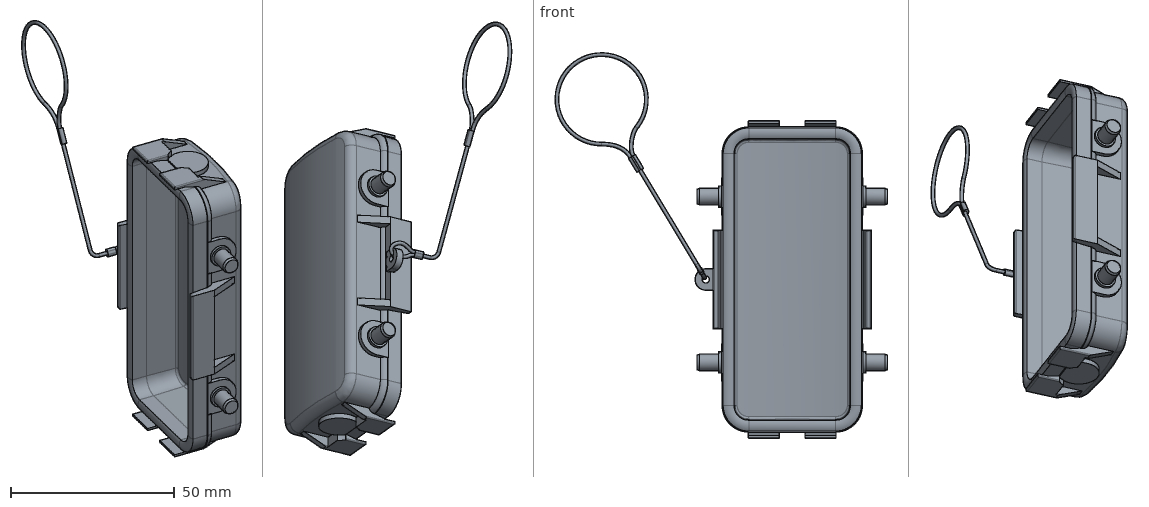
import cadquery as cq
import math


BODY_HALF_X, BODY_HALF_Z, BODY_CORNER = 20.1, 45.2, 7.0
BAND_HALF_X, BAND_HALF_Z, BAND_CORNER = 21.1, 46.3, 7.9
BEAD_HALF_X, BEAD_HALF_Z, BEAD_CORNER = 21.5, 46.7, 8.2
RIM_WIDTH = 3.3
RIM_BULGE = 0.5
STEP_Y = 5.4
BEAD_END_Y = 7.5
BEAD_ROUND = 2.0
CROWN_Y = 20.4
CROWN_RADIUS = 96.6
BACK_FILLET = 2.8
FLOOR_THICKNESS = 2.8
FLOOR_INSET = 0.4
FLOOR_FILLET = 0.8

ROOT_OVERLAP = 0.6

PIN_Y, PIN_Z = 9.5, 25.3
PIN_RADIUS = 2.6
PIN_TIP_X = 29.1
PIN_CHAMFER_LENGTH, PIN_CHAMFER_DEPTH = 0.8, 0.4
COLLAR_RADIUS, COLLAR_X = 3.3, 22.5
LUG_RADIUS, LUG_X = 5.7, 21.6
LUG_FRONT_Y = 5.4

FLAP_HALF_Z = 15.1
FLAP_OUTER_X = 24.2
FLAP_TIP_THICKNESS = 1.6
FLAP_ROOT_X = 21.7
FLAP_TIP_Y = -1.4
FLAP_BACK_Y = 6.2
FLAP_RIB_WIDTH = 2.4
FLAP_RIB_END_Y = 15.4

BRACKET_HALF_X = 13.4
BRACKET_OUTER_Z = 48.5
TAB_THICKNESS = 1.0
TAB_TIP_Y = -1.8
TAB_ROOT_Y = 1.8
TAB_GAP_HALF = 3.9
PLATE_BACK_Y = 7.4
BRACKET_RIB_WIDTH = 2.1
BRACKET_RIB_END_Y = 16.0
BRACKET_CREST_Y = 8.1
PAD_RADIUS, PAD_Y, PAD_Z = 6.2, 10.1, 46.8
PAD_FRONT_Y = 5.4
EDGE_ROUND = 0.4

EYELET_X = -26.4
EYELET_RADIUS, EYELET_HOLE_RADIUS = 3.3, 1.1
EYELET_FRONT_Y, EYELET_BACK_Y = 5.0, 7.2

WIRE_RADIUS = 0.6
WIRE_Y = -8.0
WIRE_ANGLE = math.radians(121)
BEND_RADIUS = 2.4
RISER_RUN = 3.1
SLEEVE_WIDTH, SLEEVE_THICKNESS = 2.5, 1.5
WIRE_SPREAD = 0.5
SMALL_SLEEVE_FRONT_Y, SMALL_SLEEVE_BACK_Y = -2.8, 0.1
LARGE_SLEEVE_START, LARGE_SLEEVE_END = 38.9, 43.8
LARGE_SLEEVE_Y = -7.8
LOOP_X, LOOP_Z, LOOP_RADIUS = -58.2, 55.0, 13.7
RING_START_ANGLE, RING_END_ANGLE = math.radians(-39), math.radians(270)
SMALL_LOOP_OUTSIDE = [(RISER_RUN + WIRE_SPREAD, 0), (4.2, 2.2), (5.2, 5.7), (3.1, 8.1), (0.6, 6.1)]
SMALL_LOOP_INSIDE = [(RISER_RUN - WIRE_SPREAD, 0), (1.8, 2.0), (0.6, 6.1)]
SLEEVE_EXIT, HOLE_ENTRY, HOLE_EXIT = (0, 1), (-0.7, -1), (-0.7, 1)


def rounded_block(half_x, half_z, corner, front_y, back_y):
    """Box along Y with rounded corners in the XZ outline."""
    return (
        cq.Workplane("XY")
        .box(2 * half_x, back_y - front_y, 2 * half_z, centered=(True, False, True))
        .edges("|Y")
        .fillet(corner)
        .translate((0, front_y, 0))
    )


def crown_cylinder(radius):
    """Cylinder along Z whose +Y side carries the crown, concentric for every radius."""
    return (
        cq.Workplane("XY")
        .center(0, CROWN_Y - CROWN_RADIUS)
        .circle(radius)
        .extrude(BEAD_HALF_Z, both=True)
    )


def cover_solid():
    """Crowned body with the wider rim band and the rounded bead behind it."""
    body = rounded_block(BODY_HALF_X, BODY_HALF_Z, BODY_CORNER, RIM_BULGE, CROWN_Y)
    body = body.intersect(crown_cylinder(CROWN_RADIUS)).faces(">Y").edges().fillet(BACK_FILLET)
    band = rounded_block(BAND_HALF_X, BAND_HALF_Z, BAND_CORNER, RIM_BULGE, STEP_Y)
    bead = rounded_block(BEAD_HALF_X, BEAD_HALF_Z, BEAD_CORNER, STEP_Y, BEAD_END_Y)
    bead = bead.faces(">Y").edges().fillet(BEAD_ROUND)
    return body.union(band).union(bead)


def rim_bulge():
    """Shallow rounded crest that runs around the front of the rim."""
    inset = RIM_WIDTH / 2
    middle = rounded_block(
        BAND_HALF_X - inset, BAND_HALF_Z - inset, BAND_CORNER - inset, RIM_BULGE, STEP_Y
    )
    return (
        cq.Workplane("XY")
        .moveTo(BAND_HALF_X - RIM_WIDTH, RIM_BULGE)
        .threePointArc((BAND_HALF_X - inset, 0), (BAND_HALF_X, RIM_BULGE))
        .close()
        .sweep(middle.faces("<Y").wires())
    )


def cavity():
    """Straight opening behind the rim, then drafted walls down to the crowned floor."""
    half_x = BAND_HALF_X - RIM_WIDTH
    half_z = BAND_HALF_Z - RIM_WIDTH
    corner = BAND_CORNER - RIM_WIDTH
    opening = rounded_block(half_x, half_z, corner, -RIM_BULGE, STEP_Y)
    depth = CROWN_Y - FLOOR_THICKNESS - STEP_Y
    draft = math.degrees(math.atan(FLOOR_INSET / depth))
    well_mouth = opening.faces(">Y").wires().toPending().workplane()
    well = well_mouth.extrude(depth, taper=draft, combine=False)
    well = well.intersect(crown_cylinder(CROWN_RADIUS - FLOOR_THICKNESS))
    well = well.faces(">Y").edges().fillet(FLOOR_FILLET)
    return opening.union(well)


def along_x(radius, start_x, end_x, y, z):
    """Cylinder along X."""
    return cq.Workplane("YZ", origin=(start_x, y, z)).circle(radius).extrude(end_x - start_x)


def side_pin(z):
    """Pin, collar and lug on the +X side."""
    root_x = BODY_HALF_X - ROOT_OVERLAP
    lug = (
        cq.Workplane("YZ", origin=(root_x, PIN_Y, z))
        .moveTo(0, LUG_RADIUS)
        .threePointArc((LUG_RADIUS, 0), (0, -LUG_RADIUS))
        .lineTo(LUG_FRONT_Y - PIN_Y, -LUG_RADIUS)
        .lineTo(LUG_FRONT_Y - PIN_Y, LUG_RADIUS)
        .close()
        .extrude(LUG_X - root_x)
    )
    collar = along_x(COLLAR_RADIUS, root_x, COLLAR_X, PIN_Y, z)
    pin = along_x(PIN_RADIUS, root_x, PIN_TIP_X, PIN_Y, z)
    pin = pin.faces(">X").chamfer(PIN_CHAMFER_LENGTH, PIN_CHAMFER_DEPTH)
    return lug.union(collar).union(pin)


def side_flap():
    """Hanging flap on the +X side with two sloping ribs behind it."""
    root_x = BODY_HALF_X - ROOT_OVERLAP
    plate = (
        cq.Workplane("XY")
        .polyline([
            (root_x, FLAP_BACK_Y),
            (FLAP_OUTER_X, FLAP_BACK_Y),
            (FLAP_OUTER_X, FLAP_TIP_Y),
            (FLAP_OUTER_X - FLAP_TIP_THICKNESS, FLAP_TIP_Y),
            (FLAP_ROOT_X, STEP_Y),
            (root_x, STEP_Y),
        ])
        .close()
        .extrude(FLAP_HALF_Z, both=True)
    )
    rib = (
        cq.Workplane("XY", origin=(0, 0, FLAP_HALF_Z - FLAP_RIB_WIDTH))
        .polyline([
            (root_x, STEP_Y),
            (FLAP_OUTER_X, STEP_Y),
            (FLAP_OUTER_X, FLAP_BACK_Y),
            (BODY_HALF_X, FLAP_RIB_END_Y),
            (root_x, FLAP_RIB_END_Y),
        ])
        .close()
        .extrude(FLAP_RIB_WIDTH)
    )
    plate = plate.faces("<Y").edges().fillet(EDGE_ROUND)
    return plate.union(rib).union(rib.mirror("XY"))


def bracket_block(half_x, front_y, back_y):
    """Box from inside the end wall out to the bracket's outer face."""
    root_z = BODY_HALF_Z - ROOT_OVERLAP
    return (
        cq.Workplane("XY")
        .box(2 * half_x, back_y - front_y, BRACKET_OUTER_Z - root_z, centered=(True, False, False))
        .translate((0, front_y, root_z))
    )


def end_bracket():
    """Tabs, sloping ribs and round pad on the +Z end."""
    root_z = BODY_HALF_Z - ROOT_OVERLAP
    section = (
        cq.Workplane("YZ")
        .polyline([
            (BRACKET_RIB_END_Y, root_z),
            (BRACKET_RIB_END_Y, BODY_HALF_Z),
            (BRACKET_CREST_Y, BRACKET_OUTER_Z),
            (TAB_TIP_Y, BRACKET_OUTER_Z),
            (TAB_TIP_Y, BRACKET_OUTER_Z - TAB_THICKNESS),
            (TAB_ROOT_Y, BRACKET_OUTER_Z - TAB_THICKNESS),
            (STEP_Y, BEAD_HALF_Z),
            (STEP_Y, root_z),
        ])
        .close()
        .extrude(BRACKET_HALF_X, both=True)
    )
    recess = bracket_block(BRACKET_HALF_X - BRACKET_RIB_WIDTH, PLATE_BACK_Y, BRACKET_RIB_END_Y)
    gap = bracket_block(TAB_GAP_HALF, TAB_TIP_Y, PAD_FRONT_Y)
    pad_column = (
        cq.Workplane("XY", origin=(0, PAD_Y, root_z))
        .circle(PAD_RADIUS)
        .extrude(BRACKET_OUTER_Z - root_z)
        .intersect(bracket_block(BRACKET_HALF_X, PAD_FRONT_Y, PAD_Y + PAD_RADIUS))
    )
    tabs = section.cut(recess).cut(gap).cut(pad_column)
    top_sides = tabs.faces(">Z").edges("|Y")
    tabs = tabs.faces("<Y").edges(">Z").add(top_sides).fillet(EDGE_ROUND)
    above_pad = bracket_block(BRACKET_HALF_X, TAB_TIP_Y, CROWN_Y).translate((0, 0, PAD_Z - root_z))
    return tabs.union(pad_column.cut(above_pad))


def eyelet():
    """Pierced ear on the outer face of the -X flap."""
    thickness = EYELET_BACK_Y - EYELET_FRONT_Y
    reach = -FLAP_OUTER_X - EYELET_X + ROOT_OVERLAP
    plane = cq.Workplane("XZ", origin=(EYELET_X, EYELET_BACK_Y, 0))
    disc = plane.circle(EYELET_RADIUS).extrude(thickness)
    arm = plane.center(reach / 2, 0).rect(reach, 2 * EYELET_RADIUS).extrude(thickness)
    hole = plane.circle(EYELET_HOLE_RADIUS).extrude(thickness)
    return disc.union(arm).cut(hole)


WIRE_DIRECTION = cq.Vector(math.cos(WIRE_ANGLE), 0, math.sin(WIRE_ANGLE))
WIRE_SIDE = WIRE_DIRECTION.cross(cq.Vector(0, 1, 0))
WIRE_PLANE = cq.Plane(origin=(EYELET_X, 0, 0), xDir=WIRE_DIRECTION, normal=WIRE_SIDE)


def wire_along(path):
    """Round wire along an open path."""
    edge = path.val()
    start = cq.Plane(origin=edge.startPoint(), normal=edge.tangentAt(0))
    return cq.Workplane(start).circle(WIRE_RADIUS).sweep(path)


def straight_wire():
    """Riser out of the small sleeve, bend, and straight run to the large sleeve."""
    bend_start_y = WIRE_Y + BEND_RADIUS
    offset = BEND_RADIUS * (1 - math.sqrt(0.5))
    path = (
        cq.Workplane(WIRE_PLANE)
        .moveTo(RISER_RUN, SMALL_SLEEVE_BACK_Y)
        .lineTo(RISER_RUN, bend_start_y)
        .threePointArc((RISER_RUN + offset, WIRE_Y + offset), (RISER_RUN + BEND_RADIUS, WIRE_Y))
        .lineTo(LARGE_SLEEVE_END, WIRE_Y)
        .wire()
    )
    return wire_along(path)


def small_loop():
    """Wire loop from the small sleeve around the eyelet and back through its hole."""
    outside = cq.Workplane(WIRE_PLANE).spline(SMALL_LOOP_OUTSIDE, tangents=[SLEEVE_EXIT, HOLE_ENTRY])
    inside = cq.Workplane(WIRE_PLANE).spline(SMALL_LOOP_INSIDE, tangents=[SLEEVE_EXIT, HOLE_EXIT])
    return wire_along(outside).union(wire_along(inside))


def large_loop():
    """Open ring whose two ends curve together into the large sleeve."""
    along = (math.cos(WIRE_ANGLE), math.sin(WIRE_ANGLE))
    sleeve_x = EYELET_X + LARGE_SLEEVE_END * along[0]
    sleeve_z = LARGE_SLEEVE_END * along[1]
    plane = cq.Workplane("XZ", origin=(0, WIRE_Y, 0))

    def on_ring(angle):
        return (LOOP_X + LOOP_RADIUS * math.cos(angle), LOOP_Z + LOOP_RADIUS * math.sin(angle))

    first, last = RING_START_ANGLE, RING_END_ANGLE
    ring = plane.moveTo(*on_ring(first)).threePointArc(on_ring((first + last) / 2), on_ring(last))
    loop = wire_along(ring)
    for angle, turn in ((first, 1), (last, -1)):
        start = (sleeve_x + turn * WIRE_SPREAD * along[1], sleeve_z - turn * WIRE_SPREAD * along[0])
        leave = (-turn * math.sin(angle), turn * math.cos(angle))
        branch = plane.spline([start, on_ring(angle)], tangents=[along, leave])
        loop = loop.union(wire_along(branch))
    return loop


def sleeves():
    """Flat oval crimp sleeves holding two wire strands side by side."""
    small_plane = cq.Plane(
        origin=WIRE_PLANE.toWorldCoords((RISER_RUN, SMALL_SLEEVE_FRONT_Y)),
        xDir=WIRE_DIRECTION,
        normal=(0, 1, 0),
    )
    small_length = SMALL_SLEEVE_BACK_Y - SMALL_SLEEVE_FRONT_Y
    small = cq.Workplane(small_plane).slot2D(SLEEVE_WIDTH, SLEEVE_THICKNESS).extrude(small_length)
    large_plane = cq.Plane(
        origin=WIRE_PLANE.toWorldCoords((LARGE_SLEEVE_START, LARGE_SLEEVE_Y)),
        xDir=WIRE_SIDE,
        normal=WIRE_DIRECTION,
    )
    large_length = LARGE_SLEEVE_END - LARGE_SLEEVE_START
    large = cq.Workplane(large_plane).slot2D(SLEEVE_WIDTH, SLEEVE_THICKNESS).extrude(large_length)
    return small.union(large)


result = cover_solid().union(rim_bulge())
bracket = end_bracket()
result = result.union(bracket).union(bracket.mirror("XY"))
for side in (side_pin(PIN_Z), side_pin(-PIN_Z), side_flap()):
    result = result.union(side).union(side.mirror("YZ"))
result = result.cut(cavity())
for tether_part in (eyelet(), small_loop(), sleeves(), straight_wire(), large_loop()):
    result = result.union(tether_part)